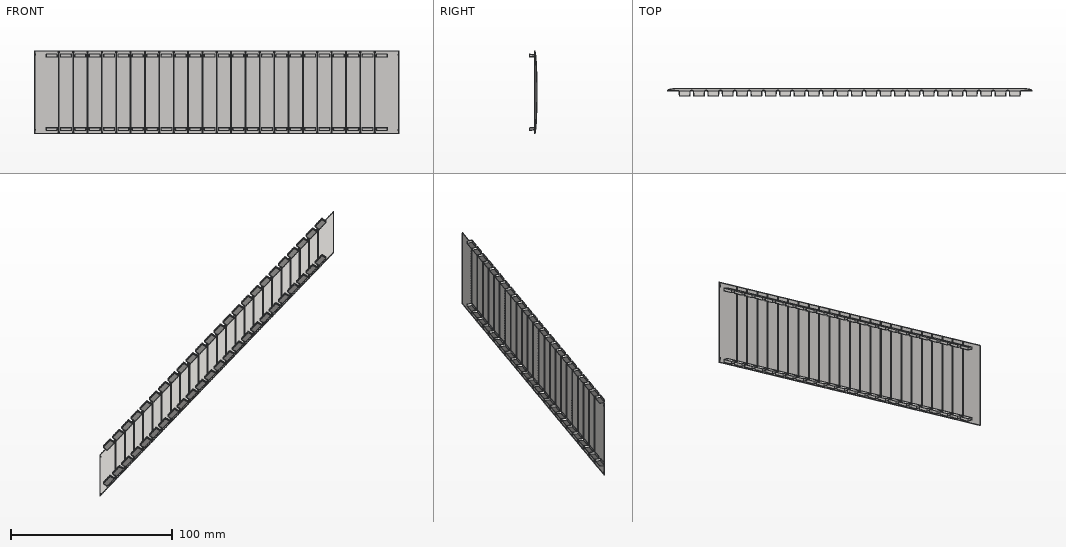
import cadquery as cq

length = 225.7
height = 51.2
overall_depth = 4.7
plate_depth = 1.5

end_run = 5.9
end_rise = 1.53

slat_count = 24
groove_count = slat_count - 1
groove_span = 195.7
slat_pitch = groove_span / (groove_count - 1)
groove_width = 0.5
groove_depth = 0.5

peg_length = overall_depth - plate_depth
peg_root_width = 7.0
peg_tip_width = 6.5
peg_root_thickness = 1.4
peg_flare = 0.4
peg_inner_draft = 0.07
peg_inner_offset = 22.0


def centred_positions(count, pitch):
    """Evenly spaced positions, centred on zero."""
    return [(i - (count - 1) / 2) * pitch for i in range(count)]


def crowned_plate():
    """Bar with a flat front and a half-elliptical back that meets it at the long edges."""
    return (
        cq.Workplane("YZ")
        .moveTo(0, -height / 2)
        .ellipseArc(plate_depth, height / 2, -90, 90, startAtCurrent=True)
        .close()
        .extrude(length)
        .translate((-length / 2, 0, 0))
    )


def end_envelope():
    """Prism whose plan rounds the back of the plate down to the front face at both ends."""
    return (
        cq.Workplane("XY")
        .moveTo(length / 2, 0)
        .ellipseArc(end_run, end_rise, 0, 90, startAtCurrent=True)
        .lineTo(-length / 2 + end_run, end_rise)
        .ellipseArc(end_run, end_rise, 90, 180, startAtCurrent=True)
        .close()
        .extrude(height)
        .translate((0, 0, -height / 2))
    )


def grooves():
    """Full-height grooves between neighbouring slats."""
    places = [(x, groove_depth / 2) for x in centred_positions(groove_count, slat_pitch)]
    return (
        cq.Workplane("XY")
        .pushPoints(places)
        .rect(groove_width, groove_depth)
        .extrude(height)
        .translate((0, 0, -height / 2))
    )


def pegs():
    """Upper row of pegs and its mirror image below."""
    tip_thickness = peg_root_thickness + peg_flare - peg_inner_draft
    root_centre = peg_inner_offset + peg_root_thickness / 2
    tip_centre = peg_inner_offset + peg_inner_draft + tip_thickness / 2
    peg = (
        cq.Workplane("XZ")
        .center(0, root_centre)
        .rect(peg_root_width, peg_root_thickness)
        .workplane(offset=peg_length)
        .center(0, tip_centre - root_centre)
        .rect(peg_tip_width, tip_thickness)
        .loft(ruled=True)
    )
    upper_row = cq.Workplane("XY")
    for x in centred_positions(slat_count, slat_pitch):
        upper_row = upper_row.add(peg.translate((x, 0, 0)))
    return upper_row.add(upper_row.mirror("XY"))


result = crowned_plate().intersect(end_envelope()).cut(grooves()).union(pegs())